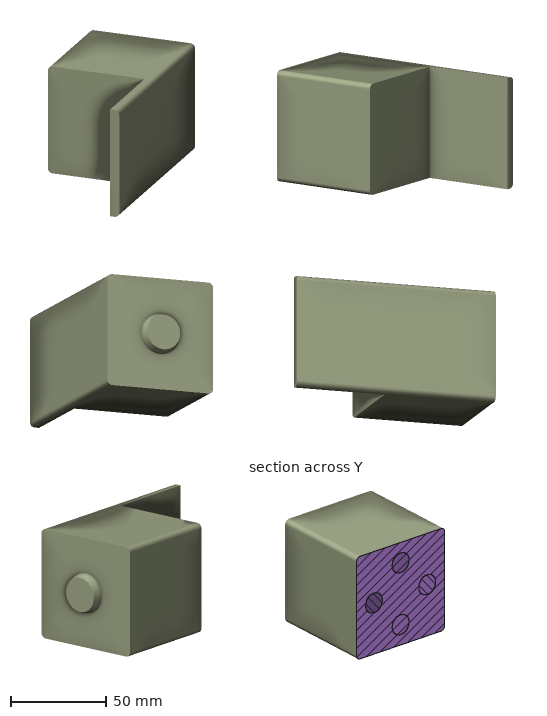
import cadquery as cq

side = 59.8
block_length = side
corner_radius = 2.6

arm_length = 50.0
arm_thickness = 5.2

magnet_diameter = 11.0
magnet_depth = 5.0
magnet_offset = 18.0
magnet_cover = 0.42

total_length = 114.6
plug_height = total_length - block_length - arm_length
plug_base_diameter = 21.8
plug_tip_diameter = 18.7

front_y = 0.0
rear_y = front_y + block_length
magnet_y = front_y + magnet_cover


def plane_at(y):
    """Sketch plane parallel to XZ whose extrusions run toward +Y."""
    return cq.Workplane(cq.Plane(origin=(0, y, 0), xDir=(1, 0, 0), normal=(0, 1, 0)))


def make_magnet(x, z):
    """One disc; x and z are the place of its axis."""
    magnet = plane_at(magnet_y).circle(magnet_diameter / 2).extrude(magnet_depth)
    return magnet.translate((x, 0, z))


def make_block(pocket_fillers):
    """Square bar with a pocket fitting each of the given bodies."""
    block = plane_at(front_y).rect(side, side).extrude(block_length).edges("|Y").fillet(corner_radius)
    for filler in pocket_fillers:
        block = block.cut(filler)
    return block


def make_arm():
    """Flat bar whose outer face and rounded edges continue those of the block."""
    arm = plane_at(front_y - arm_length).rect(arm_thickness, side).extrude(arm_length)
    arm = arm.translate(((side - arm_thickness) / 2, 0, 0))
    return arm.faces(">X").edges("|Y").fillet(corner_radius)


def make_plug():
    """Cone tapering away from the block."""
    base_radius = plug_base_diameter / 2
    tip_radius = plug_tip_diameter / 2
    cone = cq.Solid.makeCone(
        base_radius, tip_radius, plug_height, pnt=cq.Vector(0, rear_y, 0), dir=cq.Vector(0, 1, 0)
    )
    return cq.Workplane(obj=cone)


magnet_places = [
    (magnet_offset, 0),
    (0, magnet_offset),
    (-magnet_offset, 0),
    (0, -magnet_offset),
]
magnets = [make_magnet(x, z) for x, z in magnet_places]
block = make_block(magnets)
arm = make_arm()
plug = make_plug()

result = cq.Compound.makeCompound(
    [block.val(), arm.val(), plug.val()] + [magnet.val() for magnet in magnets]
)